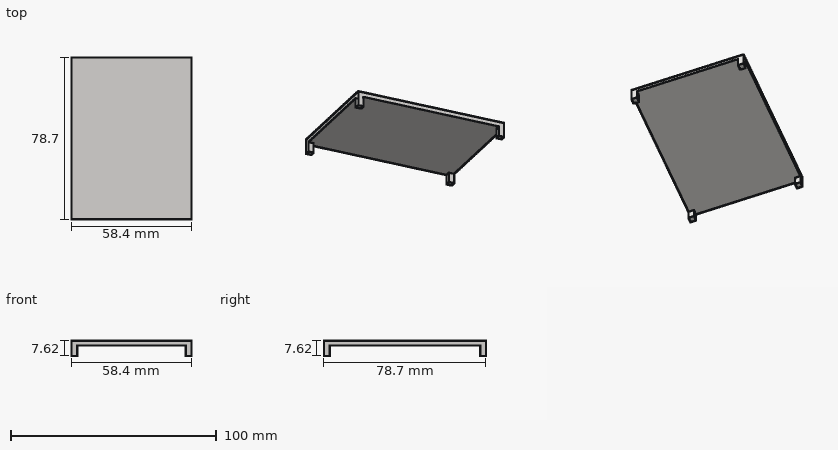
import cadquery as cq

length_x = 58.42
width_y = 78.74
height_z = 7.62

plate_thickness = 2.54
leg_side = 2.875
leg_height = height_z - plate_thickness


def make_plate():
    """Flat plate whose underside lies at the top of the legs."""
    return (
        cq.Workplane("XY")
        .workplane(offset=leg_height)
        .rect(length_x, width_y)
        .extrude(plate_thickness)
    )


def make_legs():
    """Four square legs, flush with the outer sides of the plate corners."""
    return (
        cq.Workplane("XY")
        .rect(length_x - leg_side, width_y - leg_side, forConstruction=True)
        .vertices()
        .rect(leg_side, leg_side)
        .extrude(leg_height)
    )


result = make_plate().union(make_legs())